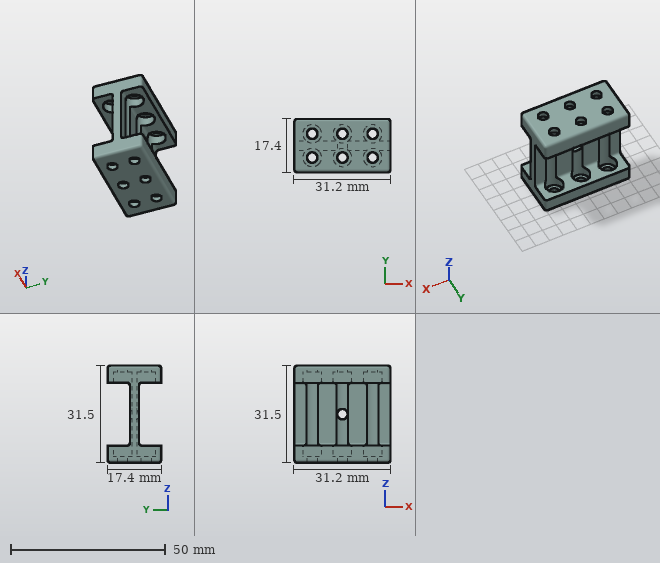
import cadquery as cq

length = 31.15
width = 17.4
height = 31.5

flange_thickness = 5.6
web_thickness = 3.0
web_fillet = 0.85
edge_round = 1.0
web_height = height - 2 * flange_thickness

hole_diameter = 3.3
counterbore_diameter = 6.0
counterbore_depth = 3.45
hole_pitch_x = 9.75
hole_pitch_y = 7.7


def make_beam():
    """Rounded block with the space on both sides of the web cut away."""
    block = (
        cq.Workplane("XY")
        .box(length, width, height)
        .edges()
        .fillet(edge_round)
    )
    web_space = cq.Workplane("XY").box(length, width, web_height)
    web = cq.Workplane("XY").box(length, web_thickness, web_height)
    beam = block.cut(web_space).union(web)
    web_corners = cq.selectors.BoxSelector(
        (-length, -web_thickness, -height),
        (length, web_thickness, height),
    )
    return beam.edges("|X").edges(web_corners).fillet(web_fillet)


def vertical_cylinders(diameter, depth):
    """Cylinders centred on mid-height at every bolt position."""
    return (
        cq.Workplane("XY")
        .rarray(hole_pitch_x, hole_pitch_y, 3, 2)
        .circle(diameter / 2)
        .extrude(depth / 2, both=True)
    )


def make_cross_hole():
    """Hole through the middle of the web, along Y."""
    return (
        cq.Workplane("XZ")
        .circle(hole_diameter / 2)
        .extrude(web_thickness, both=True)
    )


bolt_holes = vertical_cylinders(hole_diameter, height)
counterbores = vertical_cylinders(counterbore_diameter, web_height + 2 * counterbore_depth)

result = make_beam().cut(bolt_holes).cut(counterbores).cut(make_cross_hole())